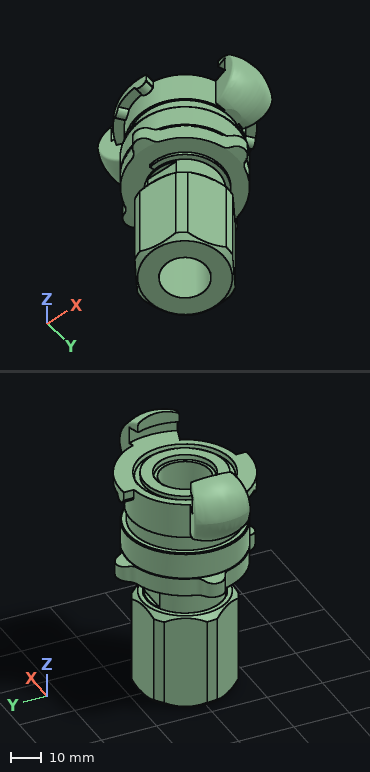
import cadquery as cq
import math

HEX_TOP = 35.2
FLAT_TOP = 44.1
COLLAR_TOP = 44.95
CLIP_BOTTOM = 45.4
LOBED_RING_BOTTOM = 46.6
SLEEVE_BOTTOM = 53.0
NECK_BOTTOM = 62.9
HEAD_BOTTOM = 68.35
FLANGE_BOTTOM = 77.8
FACE = 81.0
HOOK_TIP_BOTTOM = 87.1
TOTAL_HEIGHT = 91.7

HEX_ACROSS_FLATS = 32.0
HEX_TURNED_DIAMETER = 34.95
HEX_CHAMFER = 2.0
HEX_ROTATION = 5.0
HEX_RECESS_DIAMETER = 27.5
HEX_RECESS_DEPTH = 0.9

COLLAR_DIAMETER = 26.8
COLLAR_ACROSS_FLATS = 23.9
STEM_DIAMETER = 23.5
CLIP_DIAMETER = 30.0
CLIP_GAP_START = 142.0
CLIP_GAP_END = 259.0

RING_RADIUS = 21.1
LOBE_COUNT = 4
LOBE_REACH = 50.0 / 2
LOBE_RADIUS = 3.9
LOBE_BLEND = 3.7
RING_FACE_DROP = 0.6

SLEEVE_DIAMETER = 42.3
SLEEVE_CHAMFER = 0.4
NECK_DIAMETER = 38.35
HEAD_RADIUS = 19.8

FLANGE_RADIUS = 23.5
FLANGE_EDGE = 2.5
BUMP_RADIUS = 2.4
BUMP_DEPTH = 1.7
BUMP_ANGLES = (-90.0, -125.0)

HOOK_REACH = 62.8 / 2
HOOK_RADIUS = 11.9
HOOK_CROWN_RADIUS = 18.7
HOOK_SIDE_ANGLE = 18.0
HOOK_HALF_WIDTH_AT_AXIS = 1.1
HOOK_SLOT_RADIUS = 25.3
HOOK_TIP_RADIUS = 21.1
HOOK_ROUND = 0.9
HOOK_ROOT = 13.8

STEM_BORE = 17.0
HEAD_BORE = 18.0
SEAL_MOUTH_DIAMETER = 21.0
SEAL_SEAT_DIAMETER = 20.4
SEAL_SEAT_DEPTH = 1.65
GROOVE_INNER_DIAMETER = 29.4
GROOVE_MOUTH_DIAMETER = 34.0
GROOVE_FLOOR_DIAMETER = 33.0
GROOVE_DEPTH = 1.5


def disc(diameter, bottom, top):
    return cq.Workplane("XY").workplane(offset=bottom).circle(diameter / 2).extrude(top - bottom)


def turned(points):
    """Solid of revolution about Z from (radius, height) points."""
    return cq.Workplane("XZ").polyline(points).close().revolve(360, (0, 0), (0, 1))


def polar(radius, angle):
    return (radius * math.cos(math.radians(angle)), radius * math.sin(math.radians(angle)))


def half_turn(shape):
    return shape.rotate((0, 0, 0), (0, 0, 1), 180)


def make_hex_nut():
    corner_diameter = HEX_ACROSS_FLATS / math.cos(math.radians(30))
    prism = cq.Workplane("XY").polygon(6, corner_diameter).extrude(HEX_TOP)
    prism = prism.rotate((0, 0, 0), (0, 0, 1), HEX_ROTATION)
    blank = disc(HEX_TURNED_DIAMETER, 0, HEX_TOP).edges().chamfer(HEX_CHAMFER)
    recess = disc(HEX_RECESS_DIAMETER, HEX_TOP - HEX_RECESS_DEPTH, HEX_TOP)
    return prism.intersect(blank).cut(recess)


def make_collar():
    foot = disc(COLLAR_DIAMETER, HEX_TOP - HEX_RECESS_DEPTH, HEX_TOP)
    rim = disc(COLLAR_DIAMETER, FLAT_TOP, COLLAR_TOP)
    slab = (
        cq.Workplane("XY")
        .box(COLLAR_DIAMETER, COLLAR_ACROSS_FLATS, FLAT_TOP - HEX_TOP, centered=(True, True, False))
        .translate((0, 0, HEX_TOP))
    )
    flatted = disc(COLLAR_DIAMETER, HEX_TOP, FLAT_TOP).intersect(slab)
    return foot.union(flatted).union(rim)


def make_clip():
    radius = CLIP_DIAMETER / 2
    start = polar(radius, CLIP_GAP_END)
    middle = polar(radius, (CLIP_GAP_START + CLIP_GAP_END) / 2 + 180)
    end = polar(radius, CLIP_GAP_START)
    base = cq.Workplane("XY").workplane(offset=CLIP_BOTTOM)
    sector = base.lineTo(*start).threePointArc(middle, end).close()
    return sector.extrude(LOBED_RING_BOTTOM - CLIP_BOTTOM)


def make_lobed_ring():
    height = SLEEVE_BOTTOM - LOBED_RING_BOTTOM
    base = cq.Workplane("XY").workplane(offset=LOBED_RING_BOTTOM)
    ring = base.circle(RING_RADIUS).extrude(height)
    lobes = base.polarArray(LOBE_REACH - LOBE_RADIUS, 0, 360, LOBE_COUNT).circle(LOBE_RADIUS).extrude(height)
    body = ring.union(lobes).edges("|Z").fillet(LOBE_BLEND)
    envelope = turned([
        (0, LOBED_RING_BOTTOM),
        (RING_RADIUS, LOBED_RING_BOTTOM),
        (LOBE_REACH, LOBED_RING_BOTTOM + RING_FACE_DROP),
        (LOBE_REACH, SLEEVE_BOTTOM - RING_FACE_DROP),
        (RING_RADIUS, SLEEVE_BOTTOM),
        (0, SLEEVE_BOTTOM),
    ])
    return body.intersect(envelope)


def make_flange_sector():
    """Flange in the -X, -Y quarter, ending just past the Y axis, with two radial bumps below it."""
    block = (
        cq.Workplane("XY")
        .box(FLANGE_RADIUS + FLANGE_EDGE, FLANGE_RADIUS, FACE - FLANGE_BOTTOM, centered=False)
        .translate((-FLANGE_RADIUS, -FLANGE_RADIUS, FLANGE_BOTTOM))
    )
    bump_axis = FLANGE_BOTTOM - BUMP_DEPTH + BUMP_RADIUS
    bump = cq.Workplane("YZ").center(0, bump_axis).circle(BUMP_RADIUS).extrude(2 * FLANGE_RADIUS)
    for angle in BUMP_ANGLES:
        block = block.union(bump.rotate((0, 0, 0), (0, 0, 1), angle))
    return block.intersect(disc(2 * FLANGE_RADIUS, HEAD_BOTTOM, FACE))


def make_hook():
    """Hook on the +X side: a crowned barrel across Y, trimmed to a wedge and slotted."""
    centre_x = HOOK_REACH - HOOK_RADIUS
    centre_z = TOTAL_HEIGHT - math.sqrt(HOOK_RADIUS**2 - (HOOK_TIP_RADIUS - centre_x) ** 2)
    half_length = HOOK_RADIUS
    crown_drop = HOOK_CROWN_RADIUS - math.sqrt(HOOK_CROWN_RADIUS**2 - half_length**2)
    end_radius = HOOK_RADIUS - crown_drop
    barrel = (
        cq.Workplane("XY")
        .moveTo(0, -half_length)
        .lineTo(end_radius, -half_length)
        .threePointArc((HOOK_RADIUS, 0), (end_radius, half_length))
        .lineTo(0, half_length)
        .close()
        .revolve(360, (0, 0), (0, 1))
        .translate((centre_x, 0, centre_z))
    )
    wedge_height = 2 * HOOK_RADIUS
    side_slope = math.tan(math.radians(HOOK_SIDE_ANGLE))
    root_half = HOOK_HALF_WIDTH_AT_AXIS + HOOK_ROOT * side_slope
    end_half = HOOK_HALF_WIDTH_AT_AXIS + HOOK_REACH * side_slope
    wedge = (
        cq.Workplane("XY").workplane(offset=HEAD_BOTTOM)
        .polyline([
            (HOOK_ROOT, -root_half),
            (HOOK_REACH, -end_half),
            (HOOK_REACH, end_half),
            (HOOK_ROOT, root_half),
        ])
        .close()
        .extrude(wedge_height)
    )
    hook = barrel.intersect(wedge)
    side_rim = cq.selectors.BoxSelector(
        (HOOK_ROOT + HOOK_ROUND, -HOOK_REACH, HEAD_BOTTOM + HOOK_ROUND),
        (HOOK_REACH - 2 * HOOK_ROUND, HOOK_REACH, TOTAL_HEIGHT),
    )
    hook = hook.edges(side_rim).fillet(HOOK_ROUND)
    slot = disc(2 * HOOK_SLOT_RADIUS, FACE, HOOK_TIP_BOTTOM)
    opening = disc(2 * HOOK_TIP_RADIUS, HOOK_TIP_BOTTOM, HEAD_BOTTOM + wedge_height)
    return hook.cut(slot).cut(opening)


def make_bore():
    lower = disc(STEM_BORE, 0, LOBED_RING_BOTTOM)
    upper = disc(HEAD_BORE, LOBED_RING_BOTTOM, FACE)
    seat = turned([
        (0, FACE - SEAL_SEAT_DEPTH),
        (SEAL_SEAT_DIAMETER / 2, FACE - SEAL_SEAT_DEPTH),
        (SEAL_MOUTH_DIAMETER / 2, FACE),
        (0, FACE),
    ])
    return lower.union(upper).union(seat)


def make_seal_groove():
    return turned([
        (GROOVE_INNER_DIAMETER / 2, FACE),
        (GROOVE_INNER_DIAMETER / 2, FACE - GROOVE_DEPTH),
        (GROOVE_FLOOR_DIAMETER / 2, FACE - GROOVE_DEPTH),
        (GROOVE_MOUTH_DIAMETER / 2, FACE),
    ])


sleeve = disc(SLEEVE_DIAMETER, SLEEVE_BOTTOM, NECK_BOTTOM).edges().chamfer(SLEEVE_CHAMFER)
hook = make_hook()
flange = make_flange_sector()

result = (
    make_hex_nut()
    .union(make_collar())
    .union(disc(STEM_DIAMETER, COLLAR_TOP, LOBED_RING_BOTTOM))
    .union(make_clip())
    .union(make_lobed_ring())
    .union(sleeve)
    .union(disc(NECK_DIAMETER, NECK_BOTTOM, HEAD_BOTTOM))
    .union(disc(2 * HEAD_RADIUS, HEAD_BOTTOM, FACE))
    .union(flange)
    .union(half_turn(flange))
    .union(hook)
    .union(half_turn(hook))
    .cut(make_seal_groove())
    .cut(make_bore())
)